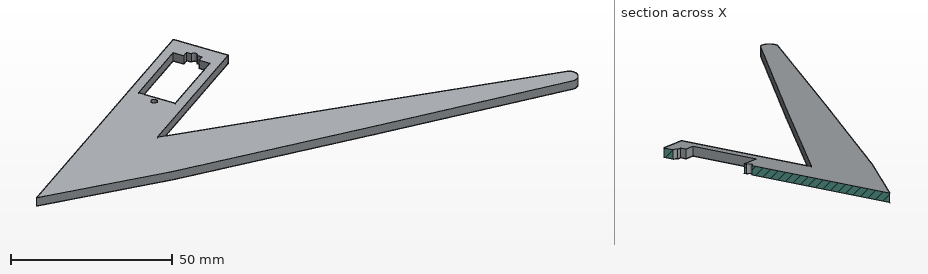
import cadquery as cq
import math

thickness = 3.175
bar_width = 19.05
bar_height = 95.25

arm_angle = 45.0
root_width = bar_width
middle_width = 12.7
tip_radius = 2.75
foot_length = 44.8
section_length = 66.35

window_width = 12.7
window_height = 24.0
window_top_margin = 6.5
notch_width = 5.3
notch_height = 2.0

screw_diameter = 2.0
upper_screw_margin = 4.6
screw_spacing = 27.8

bar_center_x = bar_width / 2
window_top = bar_height - window_top_margin


def arm_point(along, across):
    """Point at a distance along the arm from its root, and to the left of its centerline."""
    angle = math.radians(arm_angle)
    forward = foot_length + along
    left = root_width / 2 + across
    x = forward * math.cos(angle) - left * math.sin(angle)
    y = forward * math.sin(angle) + left * math.cos(angle)
    return x, y


def inner_corner():
    """Point where the upper edge of the arm meets the right side of the bar."""
    root_x, root_y = arm_point(0, root_width / 2)
    middle_x, middle_y = arm_point(section_length, middle_width / 2)
    slope = (middle_y - root_y) / (middle_x - root_x)
    return bar_width, root_y + slope * (bar_width - root_x)


def make_plate():
    tip_start = 2 * section_length
    return (
        cq.Workplane("XY")
        .moveTo(0, 0)
        .lineTo(*arm_point(0, -root_width / 2))
        .lineTo(*arm_point(section_length, -middle_width / 2))
        .lineTo(*arm_point(tip_start, -tip_radius))
        .threePointArc(arm_point(tip_start + tip_radius, 0), arm_point(tip_start, tip_radius))
        .lineTo(*arm_point(section_length, middle_width / 2))
        .lineTo(*inner_corner())
        .lineTo(bar_width, bar_height)
        .lineTo(0, bar_height)
        .close()
        .extrude(thickness)
    )


def window_cutter():
    window = (
        cq.Workplane("XY")
        .center(bar_center_x, window_top - window_height / 2)
        .rect(window_width, window_height)
        .extrude(thickness)
    )
    notch = (
        cq.Workplane("XY")
        .center(bar_center_x, window_top)
        .rect(notch_width, 2 * notch_height)
        .extrude(thickness)
    )
    return window.union(notch)


def screw_cutter():
    upper_y = bar_height - upper_screw_margin
    return (
        cq.Workplane("XY")
        .pushPoints([(bar_center_x, upper_y), (bar_center_x, upper_y - screw_spacing)])
        .circle(screw_diameter / 2)
        .extrude(thickness)
    )


result = make_plate().cut(window_cutter()).cut(screw_cutter())